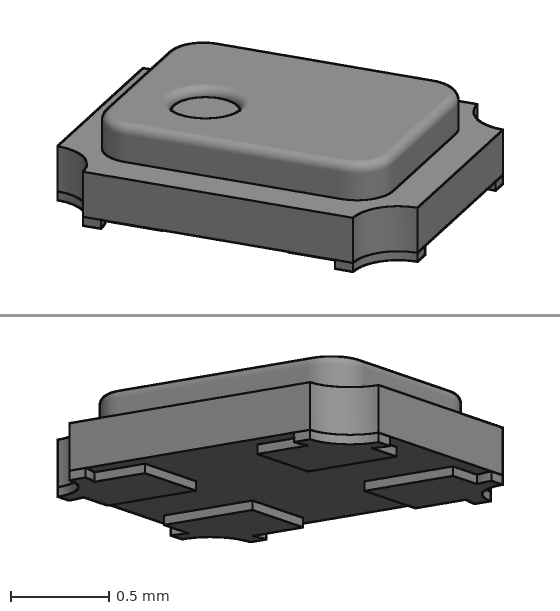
import cadquery as cq

length = 2.0
width = 1.6
notch_radius = 0.25
pad_thickness = 0.05
substrate_thickness = 0.25
substrate_top = pad_thickness + substrate_thickness

lid_margin = 0.2
lid_height = 0.2
lid_corner_radius = 0.2
lid_edge_radius = 0.05
lid_top = substrate_top + lid_height

port_x = -0.35
port_y = -0.15
port_floor_diameter = 0.35
port_floor_radius = port_floor_diameter / 2
port_rim_radius = 0.05

pad_inset = 0.1
pad_ring_radius = notch_radius + 0.1
pad_end_x = 0.65
pad_end_y = 0.55

corner_signs = [(sx, sy) for sx in (-1, 1) for sy in (-1, 1)]


def corner_notches(height):
    """Cylinders centred on the four corners of the substrate."""
    return (
        cq.Workplane("XY")
        .rect(length, width, forConstruction=True)
        .vertices()
        .circle(notch_radius)
        .extrude(height)
    )


def make_housing():
    """Housing: notched substrate and rounded lid in one piece, with the port."""
    substrate = (
        cq.Workplane("XY")
        .workplane(offset=pad_thickness)
        .rect(length, width)
        .extrude(substrate_thickness)
        .cut(corner_notches(substrate_top))
    )
    lid = (
        cq.Workplane("XY")
        .workplane(offset=substrate_top)
        .rect(length - 2 * lid_margin, width - 2 * lid_margin)
        .extrude(lid_height)
        .edges("|Z")
        .fillet(lid_corner_radius)
        .faces(">Z")
        .edges()
        .fillet(lid_edge_radius)
    )
    return substrate.union(lid.cut(make_port_cutter()))


def make_port_cutter():
    """Recess whose wall is a quarter round flaring out to the top face."""
    rim_outer = port_floor_radius + port_rim_radius
    floor_z = lid_top - port_rim_radius
    arc_offset = port_rim_radius * 0.5 ** 0.5
    return (
        cq.Workplane("YZ")
        .moveTo(0, floor_z)
        .lineTo(port_floor_radius, floor_z)
        .threePointArc((rim_outer - arc_offset, floor_z + arc_offset), (rim_outer, lid_top))
        .lineTo(0, lid_top)
        .close()
        .revolve(360, (0, 0), (0, 1))
        .translate((port_x, port_y, 0))
    )


def make_pad(sign_x, sign_y):
    """One corner pad, laid out from its substrate corner towards the middle."""
    corner_x = sign_x * length / 2
    corner_y = sign_y * width / 2
    rectangle = (
        cq.Workplane("XY")
        .center(
            corner_x - sign_x * (pad_inset + pad_end_x) / 2,
            corner_y - sign_y * (pad_inset + pad_end_y) / 2,
        )
        .rect(pad_end_x - pad_inset, pad_end_y - pad_inset)
        .extrude(pad_thickness)
    )
    outline = cq.Workplane("XY").rect(length, width).extrude(pad_thickness)
    ring = (
        cq.Workplane("XY")
        .center(corner_x, corner_y)
        .circle(pad_ring_radius)
        .extrude(pad_thickness)
        .intersect(outline)
    )
    return rectangle.union(ring).cut(corner_notches(pad_thickness))


housing = make_housing()
pads = [make_pad(sx, sy) for sx, sy in corner_signs]

result = cq.Compound.makeCompound([housing.val(), *[pad.val() for pad in pads]])